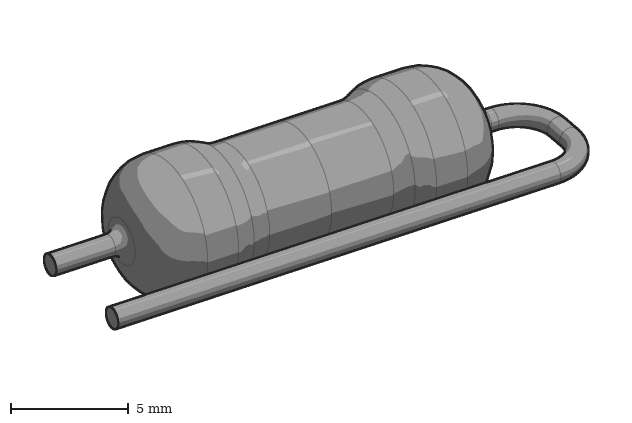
import cadquery as cq
import math

total_length = 24.6
cap_radius = 6.5 / 2
neck_radius = 5.54 / 2
lead_radius = 1.0 / 2
lead_spacing = 5.0
bend_radius = 2.0
body_center_y = 12.35
dome_start = 6.5
shoulder_end = 4.95
shoulder_start = 3.1
dome_radius = 2.3
root_radius = 0.62


def half_body():
    """Revolve one half of the body, from its middle to the root of the lead."""
    rise = cap_radius - neck_radius
    run = shoulder_end - shoulder_start
    shoulder_radius = (run**2 + rise**2) / (4 * rise)
    shoulder_middle = (neck_radius + rise / 2, shoulder_start + run / 2)

    dome_center_x = cap_radius - dome_radius
    root_center_x = lead_radius + root_radius
    offset = root_center_x - dome_center_x
    root_center_y = dome_start + math.sqrt((dome_radius + root_radius) ** 2 - offset**2)
    share = dome_radius / (dome_radius + root_radius)
    root_contact = (
        dome_center_x + offset * share,
        dome_start + (root_center_y - dome_start) * share,
    )

    profile = (
        cq.Workplane("XY")
        .lineTo(neck_radius, 0)
        .lineTo(neck_radius, shoulder_start)
        .radiusArc(shoulder_middle, shoulder_radius)
        .radiusArc((cap_radius, shoulder_end), -shoulder_radius)
        .lineTo(cap_radius, dome_start)
        .radiusArc(root_contact, -dome_radius)
        .radiusArc((lead_radius, root_center_y), root_radius)
        .lineTo(0, root_center_y)
        .close()
    )
    return profile.revolve(360, (0, 0, 0), (0, 1, 0))


def bent_lead():
    """Sweep the wire through the body, over the hairpin and back beside it."""
    crest_y = total_length - lead_radius
    bend_y = crest_y - bend_radius
    path = (
        cq.Workplane("XY")
        .lineTo(0, bend_y)
        .radiusArc((bend_radius, crest_y), bend_radius)
        .lineTo(lead_spacing - bend_radius, crest_y)
        .radiusArc((lead_spacing, bend_y), bend_radius)
        .lineTo(lead_spacing, 0)
    )
    return cq.Workplane("XZ").circle(lead_radius).sweep(path)


upper_half = half_body()
body = upper_half.union(upper_half.mirror("XZ"))
result = body.translate((0, body_center_y, 0)).union(bent_lead())